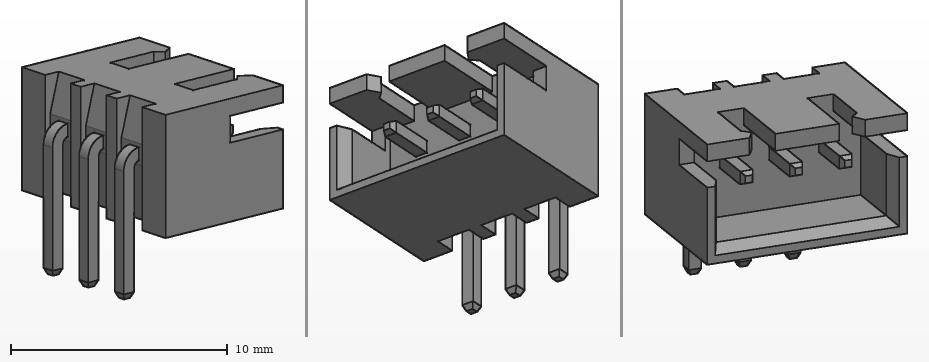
import cadquery as cq


WIDTH = 10.1
DEPTH = 7.2
HEIGHT = 5.95

SIDE_WALL = 0.76
ROOF = 0.84
FLOOR = 0.76
CAVITY_DEPTH = 3.65
LEAD_IN_LENGTH = 0.71
LEAD_IN_DROP = 0.35

SIDE_SLOT_DEPTH = 3.23
SIDE_SLOT_HEIGHT = 1.29

PIN_COUNT = 3
PITCH = 2.5
POCKET_WIDTH = 1.8
POCKET_TOP_DEPTH = 0.83
POCKET_MID_DEPTH = 0.3
POCKET_BOTTOM_DEPTH = 1.1
UPPER_RAMP_HEIGHT = 1.93
LOWER_RAMP_HEIGHT = HEIGHT / 2

ROOF_SLOT_INNER = PITCH - POCKET_WIDTH / 2
ROOF_SLOT_WIDTH = 1.31
ROOF_SLOT_OUTER = ROOF_SLOT_INNER + ROOF_SLOT_WIDTH
HOOK_REACH = 0.38
HOOK_TIP_DEPTH = 0.61
HOOK_BACK_DEPTH = HOOK_TIP_DEPTH + HOOK_REACH

PIN_SIDE = 0.64
PIN_TOP = HEIGHT - ROOF - SIDE_SLOT_HEIGHT
PIN_BEND_RADIUS = 0.97
PIN_REAR = -0.62
PIN_BOTTOM = -3.4
PIN_RECESS = 1.0
PIN_FRONT = DEPTH - PIN_RECESS
TIP_LENGTH = 0.3
TIP_TAPER = 0.14

pin_places = [(i - (PIN_COUNT - 1) / 2) * PITCH for i in range(PIN_COUNT)]


def block(x_range, y_range, z_range):
    """Box between the given limits on each axis."""
    size = [high - low for low, high in (x_range, y_range, z_range)]
    corner = (x_range[0], y_range[0], z_range[0])
    return cq.Workplane("XY").box(*size, centered=False).translate(corner)


def make_cavity():
    """Mating cavity with a lead-in at the mouth on the floor and both side walls."""
    half = WIDTH / 2 - SIDE_WALL
    ceiling = HEIGHT - ROOF
    bore = block((-half, half), (DEPTH - CAVITY_DEPTH, DEPTH), (FLOOR, ceiling))

    def section(y, growth):
        wide = half + growth
        low = FLOOR - growth
        corners = [(-wide, low), (wide, low), (wide, ceiling), (-wide, ceiling)]
        return cq.Wire.makePolygon([cq.Vector(x, y, z) for x, z in corners], close=True)

    inner = section(DEPTH - LEAD_IN_LENGTH, 0)
    mouth = section(DEPTH, LEAD_IN_DROP)
    return bore.union(cq.Workplane(cq.Solid.makeLoft([inner, mouth], True)))


def make_side_slot():
    """Slot that runs right across the housing."""
    top = HEIGHT - ROOF
    return block(
        (-WIDTH / 2, WIDTH / 2),
        (DEPTH - SIDE_SLOT_DEPTH, DEPTH),
        (top - SIDE_SLOT_HEIGHT, top),
    )


def make_roof_slot():
    """Roof slot on the +X side; the hook narrows it near the mouth."""
    outline = [
        (ROOF_SLOT_INNER, DEPTH),
        (ROOF_SLOT_INNER, DEPTH - CAVITY_DEPTH),
        (ROOF_SLOT_OUTER, DEPTH - CAVITY_DEPTH),
        (ROOF_SLOT_OUTER, DEPTH - HOOK_BACK_DEPTH),
        (ROOF_SLOT_OUTER - HOOK_REACH, DEPTH - HOOK_TIP_DEPTH),
        (ROOF_SLOT_OUTER, DEPTH),
    ]
    return cq.Workplane("XY", origin=(0, 0, HEIGHT - ROOF)).polyline(outline).close().extrude(ROOF)


def make_pocket(x):
    """Rear pocket around one pin: a ramp above and below a short upright face."""
    profile = [
        (0, 0),
        (POCKET_BOTTOM_DEPTH, 0),
        (POCKET_MID_DEPTH, LOWER_RAMP_HEIGHT),
        (POCKET_MID_DEPTH, HEIGHT - UPPER_RAMP_HEIGHT),
        (POCKET_TOP_DEPTH, HEIGHT),
        (0, HEIGHT),
    ]
    start = (x - POCKET_WIDTH / 2, 0, 0)
    return cq.Workplane("YZ", origin=start).polyline(profile).close().extrude(POCKET_WIDTH)


def make_tip(base, direction):
    """Tapered pin end that starts at `base` and points along `direction`."""
    small = PIN_SIDE - 2 * TIP_TAPER
    plane = cq.Plane(origin=base, xDir=(1, 0, 0), normal=direction)
    return (
        cq.Workplane(plane)
        .rect(PIN_SIDE, PIN_SIDE)
        .workplane(offset=TIP_LENGTH)
        .rect(small, small)
        .loft(ruled=True)
    )


def make_pin(x):
    """Square bent pin with a tapered tip at each end."""
    bar_end = PIN_FRONT - TIP_LENGTH
    leg_end = PIN_BOTTOM + TIP_LENGTH
    bend_y = PIN_REAR + PIN_BEND_RADIUS
    bend_z = PIN_TOP - PIN_BEND_RADIUS
    inner_radius = PIN_BEND_RADIUS - PIN_SIDE
    body = (
        cq.Workplane("YZ", origin=(x - PIN_SIDE / 2, 0, 0))
        .moveTo(bar_end, PIN_TOP)
        .lineTo(bend_y, PIN_TOP)
        .radiusArc((PIN_REAR, bend_z), -PIN_BEND_RADIUS)
        .lineTo(PIN_REAR, leg_end)
        .lineTo(PIN_REAR + PIN_SIDE, leg_end)
        .lineTo(PIN_REAR + PIN_SIDE, bend_z)
        .radiusArc((bend_y, bend_z + inner_radius), inner_radius)
        .lineTo(bar_end, PIN_TOP - PIN_SIDE)
        .close()
        .extrude(PIN_SIDE)
    )
    front_tip = make_tip((x, bar_end, PIN_TOP - PIN_SIDE / 2), (0, 1, 0))
    leg_tip = make_tip((x, PIN_REAR + PIN_SIDE / 2, leg_end), (0, 0, -1))
    return body.union(front_tip).union(leg_tip)


def make_housing(pins):
    """Housing with its cavity, slots and rear pockets, and a fitting hole for each pin."""
    body = block((-WIDTH / 2, WIDTH / 2), (0, DEPTH), (0, HEIGHT))
    body = body.cut(make_cavity()).cut(make_side_slot())
    roof_slot = make_roof_slot()
    body = body.cut(roof_slot).cut(roof_slot.mirror("YZ"))
    for x in pin_places:
        body = body.cut(make_pocket(x))
    for pin in pins:
        body = body.cut(pin)
    return body


pins = [make_pin(x) for x in pin_places]
housing = make_housing(pins)

result = cq.Compound.makeCompound([housing.val(), *[pin.val() for pin in pins]])